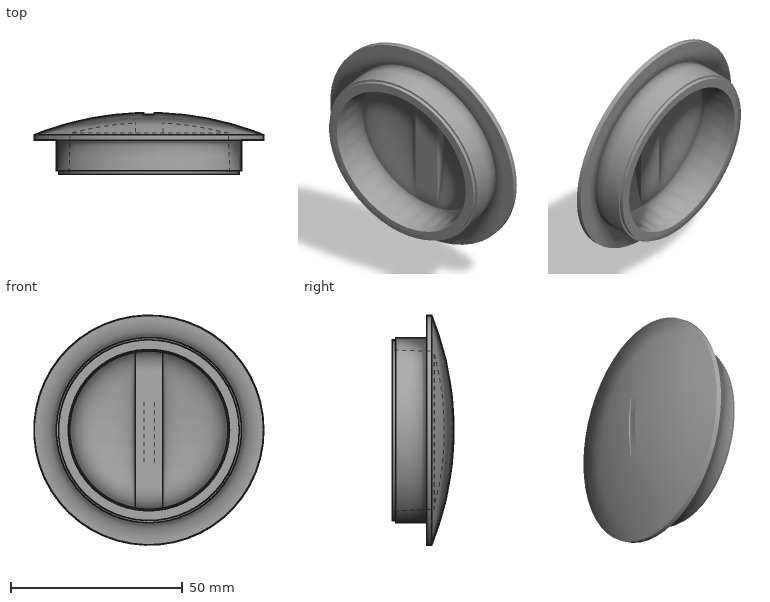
import cadquery as cq
import math

flange_radius = 33.5
flange_thickness = 1.5
dome_height = 6.5
shell_thickness = 2.8

neck_radius = 27.0
neck_length = 9.0
lip_radius = 26.35
lip_length = 1.0

bore_mouth_radius = 23.5
bore_draft_angle = 2.0

grip_bar_width = 8.0
grip_bar_depth_in_bore = 12.2

coin_slot_width = 3.0
coin_slot_depth = 0.5

lip_face_y = -(neck_length + lip_length)
dome_top_y = flange_thickness + dome_height
outer_sphere_radius = (flange_radius**2 + dome_height**2) / (2 * dome_height)
inner_sphere_radius = outer_sphere_radius - shell_thickness
sphere_center_y = dome_top_y - outer_sphere_radius
inner_top_y = dome_top_y - shell_thickness
grip_bar_face_y = lip_face_y + grip_bar_depth_in_bore


def cylinder(radius, start_y, end_y):
    """Solid cylinder on the Y axis between two places along it."""
    disc = cq.Workplane("XZ", origin=(0, start_y, 0)).circle(radius)
    return disc.extrude(start_y - end_y)


def dome_sphere(radius):
    """Full sphere on the shared centre of the outer and inner dome faces."""
    return cq.Workplane("XY").sphere(radius).translate((0, sphere_center_y, 0))


def block_on_y(width, start_y, end_y):
    """Block centred on X, reaching the full flange diameter along Z."""
    block = cq.Workplane("XY").box(
        width, end_y - start_y, 2 * flange_radius, centered=(True, False, True)
    )
    return block.translate((0, start_y, 0))


def domed_flange():
    """Flange disc capped by the outer dome."""
    return cylinder(flange_radius, 0, dome_top_y).intersect(dome_sphere(outer_sphere_radius))


def stepped_neck():
    """Cylindrical neck with a slightly smaller lip at its free end."""
    neck = cylinder(neck_radius, -neck_length, 0)
    lip = cylinder(lip_radius, lip_face_y, -neck_length)
    return neck.union(lip)


def bore():
    """Tapered bore that ends in a domed ceiling parallel to the outer dome."""
    taper_length = inner_top_y - lip_face_y
    taper_end_radius = bore_mouth_radius - taper_length * math.tan(math.radians(bore_draft_angle))
    taper = (
        cq.Workplane("XY")
        .moveTo(0, lip_face_y)
        .lineTo(bore_mouth_radius, lip_face_y)
        .lineTo(taper_end_radius, inner_top_y)
        .lineTo(0, inner_top_y)
        .close()
        .revolve(360, (0, 0, 0), (0, 1, 0))
    )
    return taper.intersect(dome_sphere(inner_sphere_radius))


def grip_bar():
    """Block under the dome whose flat face closes off the bottom of the bore."""
    return block_on_y(grip_bar_width, grip_bar_face_y, dome_top_y)


def coin_slot():
    """Flat-floored groove across the crown of the dome, in line with the grip bar."""
    return block_on_y(coin_slot_width, dome_top_y - coin_slot_depth, dome_top_y)


cavity = bore().cut(grip_bar())
result = domed_flange().union(stepped_neck()).cut(cavity).cut(coin_slot())